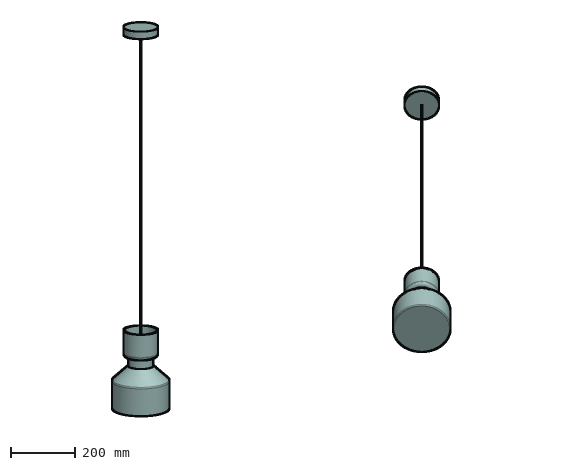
import cadquery as cq

total_height = 1237.0

canopy_radius = 55.0
canopy_height = 25.0
cord_radius = 1.9

base_radius = 90.0
neck_radius = 40.0
cup_radius = canopy_radius
shoulder_height = 93.0
neck_bottom_height = 140.0
cup_bottom_height = 168.0
cup_top_height = 255.0
bottom_edge_radius = 4.0
shoulder_edge_radius = 6.0
cup_edge_radius = 12.0
cup_wall = 4.0
cup_floor_height = cup_bottom_height + cup_wall

selection_margin = 1.0


def make_suspension():
    """Canopy disc with the cord hanging from it down to the floor of the cup."""
    canopy_bottom = total_height - canopy_height
    canopy = cq.Workplane("XY").workplane(offset=canopy_bottom).circle(canopy_radius).extrude(canopy_height)
    cord = (
        cq.Workplane("XY")
        .workplane(offset=cup_floor_height)
        .circle(cord_radius)
        .extrude(canopy_bottom - cup_floor_height)
    )
    return canopy.union(cord)


def circle_at(radius, height):
    """Selector for the circular edge that passes through X = radius at this height."""
    near, far = radius - selection_margin, radius + selection_margin
    low, high = height - selection_margin, height + selection_margin
    outer = cq.selectors.BoxSelector((-far, -far, low), (far, far, high), boundingbox=True)
    inner = cq.selectors.BoxSelector((-near, -near, low), (near, near, high), boundingbox=True)
    return outer - inner


def make_shade_body():
    """Turned outside shape: straight base, cone, neck and cup."""
    profile = (
        cq.Workplane("XZ")
        .lineTo(base_radius, 0)
        .lineTo(base_radius, shoulder_height)
        .lineTo(neck_radius, neck_bottom_height)
        .lineTo(neck_radius, cup_bottom_height)
        .lineTo(cup_radius, cup_bottom_height)
        .lineTo(cup_radius, cup_top_height)
        .lineTo(0, cup_top_height)
        .close()
    )
    body = profile.revolve(360, (0, 0), (0, 1))
    body = body.edges(circle_at(base_radius, 0)).fillet(bottom_edge_radius)
    body = body.edges(circle_at(base_radius, shoulder_height)).fillet(shoulder_edge_radius)
    return body.edges(circle_at(cup_radius, cup_bottom_height)).fillet(cup_edge_radius)


def make_cup_cavity():
    """Space inside the cup, rounded at the floor to keep the wall even."""
    cavity = (
        cq.Workplane("XY")
        .workplane(offset=cup_floor_height)
        .circle(cup_radius - cup_wall)
        .extrude(cup_top_height - cup_floor_height)
    )
    return cavity.faces("<Z").edges().fillet(cup_edge_radius - cup_wall)


suspension = make_suspension()
shade = make_shade_body().cut(make_cup_cavity())

result = cq.Compound.makeCompound([suspension.val(), shade.val()])